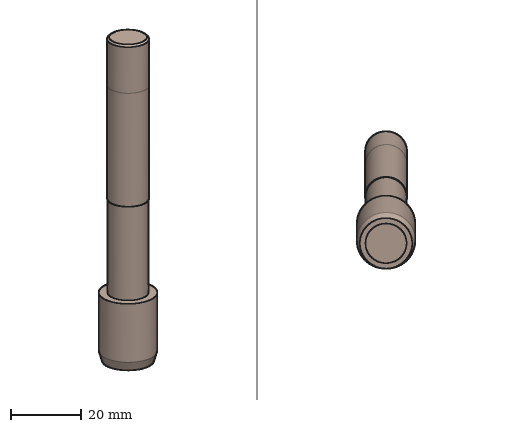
import cadquery as cq

total_height = 100.0
guide_end_height = 85.2
guide_start_height = 50.0
collar_height = 21.0

collar_diameter = 16.7
guide_diameter = 12.0
neck_diameter = 11.7

lead_in_height = 3.0
lead_in_width = 0.9
tip_chamfer = 0.6


def cylinder(diameter, bottom, top):
    """Upright cylinder on the Z axis between two heights."""
    return cq.Workplane("XY").workplane(offset=bottom).circle(diameter / 2).extrude(top - bottom)


def make_collar():
    """Ring with a conical lead-in at its lower rim and a bore for the pin."""
    radius = collar_diameter / 2
    bore_radius = neck_diameter / 2
    profile = (
        cq.Workplane("XZ")
        .moveTo(bore_radius, 0)
        .lineTo(bore_radius, collar_height)
        .lineTo(radius, collar_height)
        .lineTo(radius, lead_in_height)
        .lineTo(radius - lead_in_width, 0)
        .close()
    )
    return profile.revolve(360, (0, 0), (0, 1))


def make_pin():
    """Pin with a slimmer neck, a guide length and a chamfered end length."""
    neck = cylinder(neck_diameter, 0, guide_start_height)
    guide = cylinder(guide_diameter, guide_start_height, guide_end_height)
    end = cylinder(guide_diameter, guide_end_height, total_height)
    end = end.faces(">Z").chamfer(tip_chamfer)
    return neck.union(guide).union(end, clean=False)


collar = make_collar()
pin = make_pin()

result = cq.Compound.makeCompound([collar.val(), pin.val()])